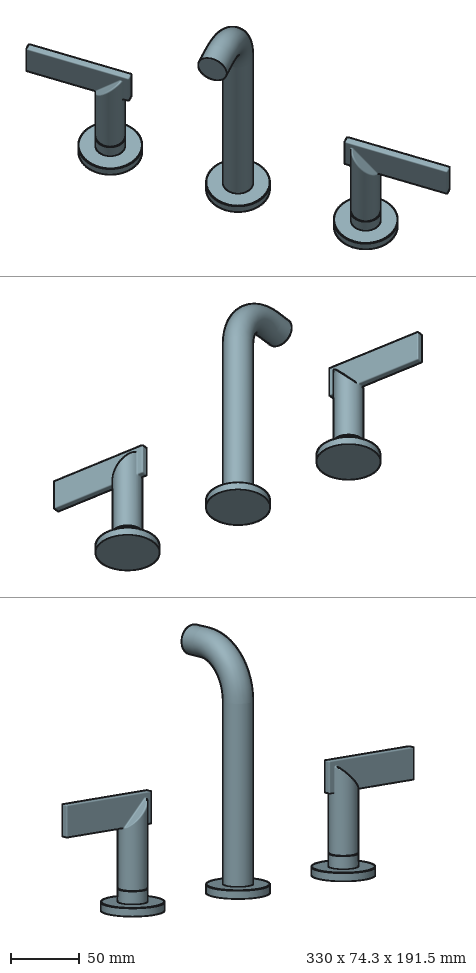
import cadquery as cq

flange_diameter = 47.0
flange_thickness = 6.5
flange_edge_chamfer = 0.5

spout_diameter = 22.5
spout_height = 191.5
spout_bend_radius = 37.5
spout_reach = 50.8

overall_width = 330.0
handle_offset = 100.0
post_diameter = 22.0
post_edge_fillet = 1.0
cut_direction = cq.Vector(-1, 0, 1)
post_cut_bottom = 62.5
collar_top = 16.2
joint_groove_width = 0.5
joint_groove_depth = 0.3

blade_bottom = 62.7
blade_top = 87.0
blade_thickness = 6.0
blade_overhang = 16.0
blade_edge_fillet = 1.0
blade_root_fillet = 1.0


def make_flange():
    """Round base plate standing on the ground plane, with a chamfered upper rim."""
    return (
        cq.Workplane("XY")
        .circle(flange_diameter / 2)
        .extrude(flange_thickness)
        .faces(">Z").edges().chamfer(flange_edge_chamfer)
    )


def make_spout():
    """Upright tube that bends forward a quarter turn and ends in a flat nozzle."""
    axis_height = spout_height - spout_diameter / 2
    bend_start = axis_height - spout_bend_radius
    path = (
        cq.Workplane("YZ")
        .lineTo(0, bend_start)
        .radiusArc((-spout_bend_radius, axis_height), -spout_bend_radius)
        .lineTo(-spout_reach, axis_height)
    )
    tube = cq.Workplane("XY").circle(spout_diameter / 2).sweep(path)
    return make_flange().union(tube)


def make_post():
    """Post of a right-hand handle, cut off at 45 degrees so that the cut faces +X."""
    radius = post_diameter / 2
    cut_height = post_cut_bottom + post_diameter
    profile = (
        cq.Workplane("XZ")
        .moveTo(-radius, 0)
        .lineTo(radius, 0)
        .lineTo(radius, post_cut_bottom)
        .lineTo(-radius, cut_height)
        .close()
        .extrude(radius, both=True)
    )
    post = cq.Workplane("XY").circle(radius).extrude(cut_height).intersect(profile)
    return post.faces(">Z").edges().fillet(post_edge_fillet)


def make_joint_groove():
    """Ring removed from the post at the joint above its collar."""
    return (
        cq.Workplane("XY", origin=(0, 0, collar_top))
        .circle(post_diameter / 2)
        .circle(post_diameter / 2 - joint_groove_depth)
        .extrude(joint_groove_width)
    )


def make_blade():
    """Flat lever reaching from the post towards +X, with rounded edges."""
    length = overall_width / 2 - handle_offset + blade_overhang
    return (
        cq.Workplane("XY", origin=(-blade_overhang, 0, blade_bottom))
        .box(length, blade_thickness, blade_top - blade_bottom, centered=(False, True, False))
        .edges().fillet(blade_edge_fillet)
    )


def make_handle(side):
    """Complete handle whose lever points outwards; side is +1 for +X and -1 for -X."""
    lever = make_post().union(make_blade())
    root_edges = cq.selectors.ParallelDirSelector(cut_direction)
    lever = lever.edges(root_edges).fillet(blade_root_fillet)
    handle = make_flange().union(lever.cut(make_joint_groove()))
    if side < 0:
        handle = handle.mirror("YZ")
    return handle.translate((side * handle_offset, 0, 0))


spout = make_spout()
handles = [make_handle(side) for side in (-1, 1)]

result = cq.Compound.makeCompound([spout.val(), *[handle.val() for handle in handles]])